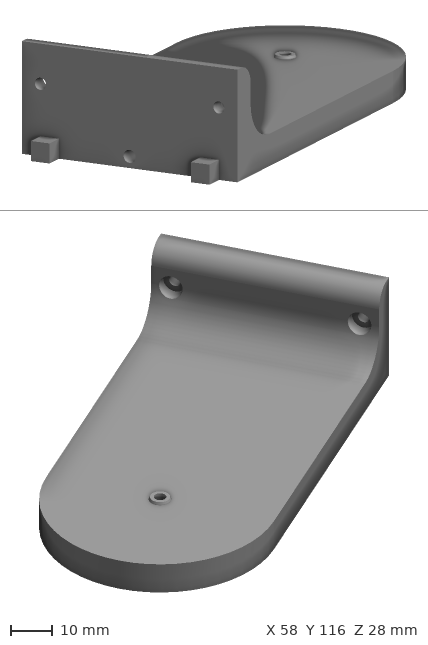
import cadquery as cq

width = 58.0
tab_size = 5.0
body_length = 116.0 - tab_size
plate_thickness = 8.0
wall_height = 28.0
wall_thickness = 7.0
inner_fillet = 10.0
top_round = 5.0
end_radius = width / 2
overlap = 1.2

tab_outer_edge_x = 24.0

mount_hole_diameter = 3.0
mount_hole_x = 24.0
mount_hole_z = 18.0
counterbore_diameter = 6.0
counterbore_depth = 3.0
pin_hole_diameter = 3.2
pin_hole_depth = 10.0
pin_hole_z = 2.9

boss_base_diameter = 5.5
boss_top_diameter = 4.9
boss_height = 0.7
boss_hole_diameter = 3.0
boss_y = body_length - end_radius


def make_plate():
    """Flat plate with one semicircular end, its straight end at Y = 0."""
    return (
        cq.Workplane("XY")
        .moveTo(-width / 2, 0)
        .lineTo(width / 2, 0)
        .lineTo(width / 2, boss_y)
        .threePointArc((0, body_length), (-width / 2, boss_y))
        .close()
        .extrude(plate_thickness)
    )


def make_wall():
    """Upright wall with a rounded top edge and a concave blend into the plate."""
    return (
        cq.Workplane("YZ")
        .lineTo(0, wall_height)
        .lineTo(wall_thickness - top_round, wall_height)
        .radiusArc((wall_thickness, wall_height - top_round), top_round)
        .lineTo(wall_thickness, plate_thickness + inner_fillet)
        .radiusArc((wall_thickness + inner_fillet, plate_thickness), -inner_fillet)
        .lineTo(wall_thickness + inner_fillet, 0)
        .close()
        .extrude(width / 2, both=True)
    )


def make_tab(side):
    """Cube standing out from the wall, flush with the underside."""
    center_x = side * (tab_outer_edge_x - tab_size / 2)
    return (
        cq.Workplane("XY")
        .box(tab_size, tab_size + overlap, tab_size, centered=(True, False, False))
        .translate((center_x, -tab_size, 0))
    )


def make_boss():
    """Short tapered boss on the plate."""
    return (
        cq.Workplane("XY", origin=(0, boss_y, plate_thickness))
        .circle(boss_base_diameter / 2)
        .workplane(offset=boss_height)
        .circle(boss_top_diameter / 2)
        .loft()
    )


def bore_along_y(x, z, diameter, start_y, depth):
    """Cutter running from start_y toward +Y."""
    axis_start = cq.Vector(x, start_y, z)
    return cq.Workplane(cq.Solid.makeCylinder(diameter / 2, depth, axis_start, cq.Vector(0, 1, 0)))


def bore_along_z():
    """Cutter for the vertical hole through the plate and boss."""
    return (
        cq.Workplane("XY", origin=(0, boss_y, 0))
        .circle(boss_hole_diameter / 2)
        .extrude(plate_thickness + boss_height)
    )


result = make_plate().union(make_wall()).union(make_boss())

wall_bore_depth = wall_thickness + inner_fillet
counterbore_start = wall_thickness - counterbore_depth

for side in (-1, 1):
    hole_x = side * mount_hole_x
    result = result.union(make_tab(side))
    result = result.cut(bore_along_y(hole_x, mount_hole_z, mount_hole_diameter, 0, wall_bore_depth))
    result = result.cut(
        bore_along_y(
            hole_x, mount_hole_z, counterbore_diameter, counterbore_start, wall_bore_depth - counterbore_start
        )
    )

result = result.cut(bore_along_y(0, pin_hole_z, pin_hole_diameter, 0, pin_hole_depth))
result = result.cut(bore_along_z())